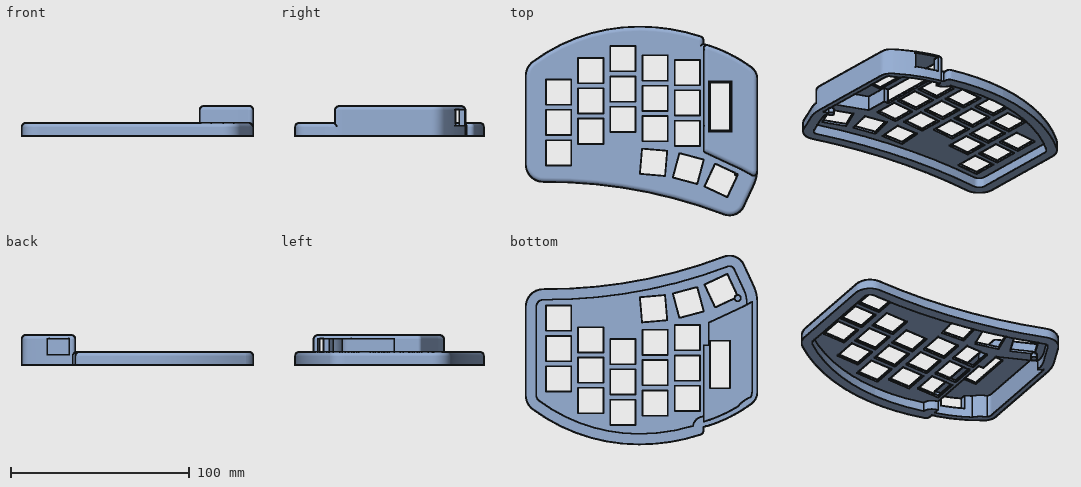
import cadquery as cq
import math

length = 129.5
depth = 105.7
height = 17.0
plate_height = 7.5
plate_wall = 6.0
housing_wall = 3.0
edge_round = 2.5
plate_thickness = 1.5
roof_thickness = 2.1

crest_x = 63.5
back_left_radius = 99.8
back_right_radius = 110.1
housing_arc_center = (76.2, 14.8)
housing_arc_radius = 84.6
front_arc_center_x = 11.9
front_arc_top_y = 18.8
front_arc_radius = 278.5
side_slant_angle = 65.0
side_slant_start_y = 21.4
left_corner_radius = 10.0
front_right_corner_radius = 8.8
side_bend_radius = 22.0
back_right_corner_radius = 8.0
notch_corner_radius = 2.6

housing_x = 99.5
housing_front_corner_y = 35.6
housing_front_angle = 25.0
housing_bend_x = 121.0
housing_end_angle = 29.0
housing_corner_radius = 2.0
side_opening_front_y = 50.3

fill_start = (118.8, 84.3)
fill_middle = (122.0, 81.2)
fill_end = (126.0, 79.2)

display_center = (108.7, 61.0)
display_width = 11.0
display_length = 26.4
display_chamfer = 0.9

cable_window_x = 103.0
cable_window_width = 12.2

key_size = 14.0
key_pitch_x = 18.0
key_pitch_y = 17.0
keys_per_column = 3
first_column_x = 18.4
column_front_y = [35.1, 47.2, 53.8, 48.6, 46.0]
thumb_keys = [(71.5, 29.8, -5.0), (91.0, 26.3, -15.0), (109.3, 19.7, -25.0)]

post_diameter = 3.5
post_center = (118.5, 23.8)
post_bottom_z = 3.1


def arc_y(center, radius, x):
    """Height of the upper half of a circle at x."""
    return center[1] + math.sqrt(radius**2 - (x - center[0]) ** 2)


back_left_center = (crest_x, depth - back_left_radius)
back_right_center = (crest_x, depth - back_right_radius)
front_arc_center = (front_arc_center_x, front_arc_top_y - front_arc_radius)


def on_back_left(x):
    return (x, arc_y(back_left_center, back_left_radius, x))


def on_back_right(x):
    return (x, arc_y(back_right_center, back_right_radius, x))


def on_housing_arc(x):
    return (x, arc_y(housing_arc_center, housing_arc_radius, x))


def on_front_arc(x):
    return (x, arc_y(front_arc_center, front_arc_radius, x))


def slant_meets_front_arc():
    """Corner where the slanted right side crosses the front arc."""
    direction = (-math.cos(math.radians(side_slant_angle)), -math.sin(math.radians(side_slant_angle)))
    offset = (length - front_arc_center[0], side_slant_start_y - front_arc_center[1])
    along = offset[0] * direction[0] + offset[1] * direction[1]
    gap = offset[0] ** 2 + offset[1] ** 2 - front_arc_radius**2
    distance = -along - math.sqrt(along**2 - gap)
    return (length + distance * direction[0], side_slant_start_y + distance * direction[1])


def round_upright_edge(solid, corner, radius):
    """Round the upright edge standing at the given plan point."""
    reach = 0.1
    box = cq.selectors.BoxSelector(
        (corner[0] - reach, corner[1] - reach, -1.3),
        (corner[0] + reach, corner[1] + reach, height + 1.3),
    )
    return solid.edges("|Z").edges(box).fillet(radius)


def body_prism(prism_height):
    """Upright prism on the whole plan outline, with rounded corners."""
    front_right = slant_meets_front_arc()
    prism = (
        cq.Workplane("XY")
        .moveTo(*on_front_arc(0))
        .lineTo(*on_back_left(0))
        .threePointArc(on_back_left(crest_x / 2), (crest_x, depth))
        .threePointArc(on_back_right((crest_x + housing_x) / 2), on_back_right(housing_x))
        .lineTo(*on_housing_arc(housing_x))
        .threePointArc(on_housing_arc((housing_x + length) / 2), on_housing_arc(length))
        .lineTo(length, side_slant_start_y)
        .lineTo(*front_right)
        .threePointArc(on_front_arc(front_right[0] / 2), on_front_arc(0))
        .close()
        .extrude(prism_height)
    )
    corners = [
        (on_front_arc(0), left_corner_radius),
        (on_back_left(0), left_corner_radius),
        (on_back_right(housing_x), notch_corner_radius),
        (on_housing_arc(length), back_right_corner_radius),
        ((length, side_slant_start_y), side_bend_radius),
        (front_right, front_right_corner_radius),
    ]
    for corner, radius in corners:
        prism = round_upright_edge(prism, corner, radius)
    return prism


def housing_prism():
    """Upright prism on the housing outline, a corner of the body outline."""
    run = housing_bend_x - housing_x
    bend_y = housing_front_corner_y - run * math.tan(math.radians(housing_front_angle))
    end_y = bend_y - (length - housing_bend_x) * math.tan(math.radians(housing_end_angle))
    area = (
        cq.Workplane("XY")
        .polyline([
            (housing_x, depth),
            (housing_x, housing_front_corner_y),
            (housing_bend_x, bend_y),
            (length, end_y),
            (length, depth),
        ])
        .close()
        .extrude(height)
    )
    prism = body_prism(height).intersect(area)
    prism = round_upright_edge(prism, (housing_x, housing_front_corner_y), housing_corner_radius)
    prism = round_upright_edge(prism, on_housing_arc(housing_x), housing_corner_radius)
    front_right = prism.edges("|Z").edges(
        cq.selectors.BoxSelector((length - 2.6, end_y - 1.3, -1.3), (length, bend_y - 1.3, height + 1.3))
    )
    return front_right.fillet(housing_corner_radius)


def inner_prism(prism, wall, top_z):
    """Prism set in from the given prism by the wall thickness, from the ground up to top_z."""
    outline = prism.faces("<Z").wires().toPending()
    inner = outline.offset2D(-wall).extrude(top_z, combine=False)
    low = inner.val().BoundingBox().zmin
    return inner.translate((0, 0, -low))


def key_opening(x, y, angle):
    return (
        cq.Workplane("XY")
        .rect(key_size, key_size)
        .extrude(height)
        .rotate((0, 0, 0), (0, 0, 1), angle)
        .translate((x, y, 0))
    )


def plate_solid():
    """Plate with a rounded top rim; most of the ground under the housing is left to the housing."""
    notch = on_housing_arc(housing_x)
    ground = (
        cq.Workplane("XY")
        .polyline([
            notch,
            (111.4, 90.4),
            (111.4, 46.6),
            (length, 28.5),
            (length + 1.3, 28.5),
            (length + 1.3, depth),
            (housing_x, depth),
        ])
        .close()
        .extrude(plate_height)
    )
    return body_prism(plate_height).cut(ground).faces(">Z").edges().fillet(edge_round)


body_outline = body_prism(plate_height)
housing_outline = housing_prism()

result = plate_solid().union(housing_outline.faces(">Z").edges().fillet(edge_round))

corner_fill = (
    cq.Workplane("XY")
    .moveTo(*fill_start)
    .threePointArc(fill_middle, fill_end)
    .lineTo(length, depth)
    .close()
    .extrude(height)
)
ceiling_z = height - roof_thickness
plate_ceiling_z = plate_height - plate_thickness
plate_cavity = inner_prism(body_outline, plate_wall, plate_ceiling_z).cut(corner_fill)
housing_cavity = inner_prism(housing_outline, housing_wall, ceiling_z).cut(corner_fill)
result = result.cut(plate_cavity).cut(housing_cavity)

side_opening = inner_prism(body_outline, housing_wall, ceiling_z).intersect(
    cq.Workplane("XY")
    .box(2 * housing_wall, depth, height, centered=False)
    .translate((housing_x, side_opening_front_y, 0))
)
result = result.cut(side_opening)

cable_window_reach = 25.9
cable_window = (
    cq.Workplane("XY")
    .box(cable_window_width, cable_window_reach, ceiling_z - plate_ceiling_z, centered=False)
    .translate((cable_window_x, depth - cable_window_reach, plate_ceiling_z))
)
result = result.cut(cable_window)

display = (
    cq.Workplane("XY", origin=(*display_center, height))
    .rect(display_width, display_length)
    .extrude(-2 * roof_thickness)
)
bevel = (
    cq.Workplane("XY", origin=(*display_center, height))
    .rect(display_width + 2 * display_chamfer, display_length + 2 * display_chamfer)
    .workplane(offset=-display_chamfer)
    .rect(display_width, display_length)
    .loft()
)
result = result.cut(display).cut(bevel)

for column, front_y in enumerate(column_front_y):
    for row in range(keys_per_column):
        x = first_column_x + column * key_pitch_x
        result = result.cut(key_opening(x, front_y + row * key_pitch_y, 0))
for x, y, angle in thumb_keys:
    result = result.cut(key_opening(x, y, angle))

post = (
    cq.Workplane("XY", origin=(*post_center, post_bottom_z))
    .circle(post_diameter / 2)
    .extrude(plate_ceiling_z - post_bottom_z)
)
result = result.union(post)